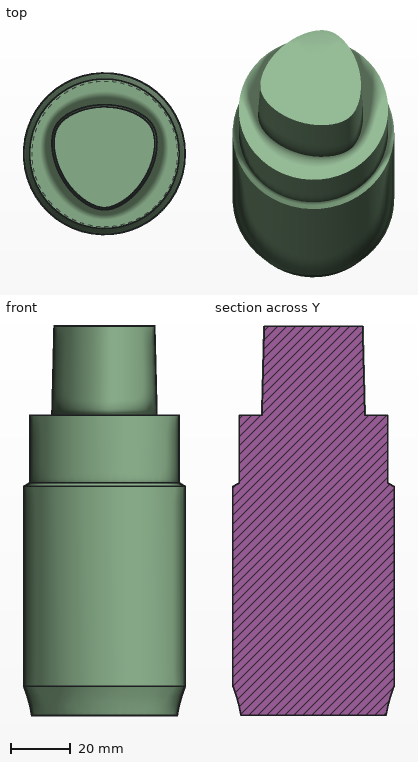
import cadquery as cq
import math

total_height = 130.0
curved_foot_height = 9.8
body_top = 76.5
shank_base = 100.2

body_radius = 54.0 / 2
collar_radius = 49.9 / 2
foot_radius = 24.3
foot_middle_radius = 25.4
shoulder_angle = 30.0
shoulder_top = body_top + (body_radius - collar_radius) * math.tan(math.radians(shoulder_angle))

shank_base_radius = 17.5
lobe_height = 1.2
taper = 1 / 20
shank_top_radius = shank_base_radius - (total_height - shank_base) * taper / 2
curve_points = 72


def make_body():
    """Revolve the body and collar, with the concave foot and conical shoulder."""
    return (
        cq.Workplane("XZ")
        .lineTo(foot_radius, 0)
        .threePointArc(
            (foot_middle_radius, curved_foot_height / 2),
            (body_radius, curved_foot_height),
        )
        .lineTo(body_radius, body_top)
        .lineTo(collar_radius, shoulder_top)
        .lineTo(collar_radius, shank_base)
        .lineTo(0, shank_base)
        .close()
        .revolve(360, (0, 0, 0), (0, 1, 0))
    )


def lobed_point(turn, mean_radius):
    """Point on a constant-width, three-lobed curve with one lobe toward -Y."""
    angle = 2 * math.pi * turn
    along_lobe = (
        mean_radius * math.cos(angle)
        + 2 * lobe_height * math.cos(2 * angle)
        - lobe_height * math.cos(4 * angle)
    )
    across_lobe = (
        mean_radius * math.sin(angle)
        - 2 * lobe_height * math.sin(2 * angle)
        - lobe_height * math.sin(4 * angle)
    )
    return (across_lobe, -along_lobe)


def lobed_outline(mean_radius):
    """Points around the closed lobed curve, without repeating the first."""
    return [lobed_point(step / curve_points, mean_radius) for step in range(curve_points)]


def make_shank():
    """Loft straight between the lobed outlines at the collar and at the tip."""
    return (
        cq.Workplane("XY", origin=(0, 0, shank_base))
        .spline(lobed_outline(shank_base_radius), periodic=True)
        .wire()
        .workplane(offset=total_height - shank_base)
        .spline(lobed_outline(shank_top_radius), periodic=True)
        .wire()
        .loft(ruled=True)
    )


result = make_body().union(make_shank())